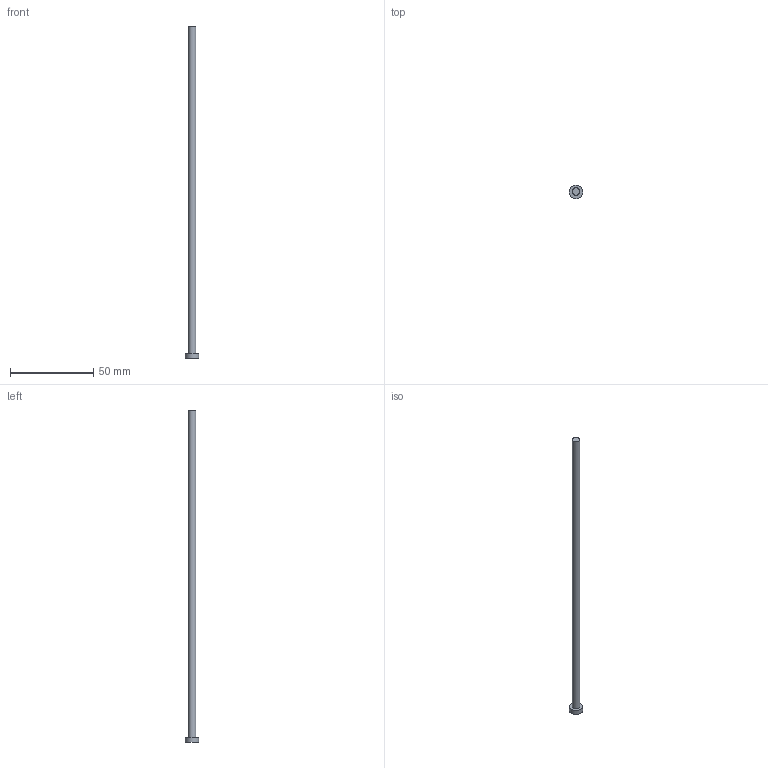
import cadquery as cq

total_length = 200.0
head_diameter = 8.0
head_thickness = 3.0
shank_diameter = 4.5


def make_head():
    """Round head with its underside at Z = 0."""
    return cq.Workplane("XY").circle(head_diameter / 2).extrude(head_thickness)


def make_shank():
    """Straight shank running from the underside of the head to the tip."""
    return cq.Workplane("XY").circle(shank_diameter / 2).extrude(total_length)


result = make_head().union(make_shank())